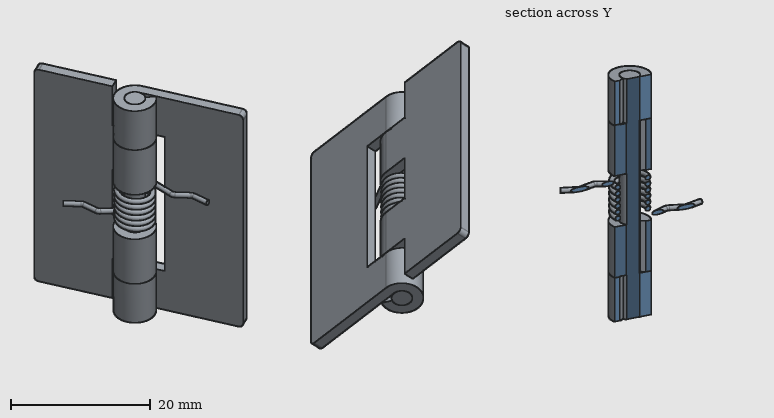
import cadquery as cq
import math


hinge_height = 38.0
hinge_width = 32.0
pin_diameter = 3.0
sheet_thickness = 1.6
corner_radius = 0.72
notch_edge = 4.0
lip_angle = 28.0

spring_gap_end = 4.0
middle_knuckle_end = 12.0

wire_diameter = 0.8
coil_mean_diameter = 5.2
coil_height = 6.0
full_turns = 6
bend_radius = 0.8
lower_bend_x = 5.7
upper_bend_x = 8.4
leg_end_x = 11.05
lower_bend_y = 0.25

half_height = hinge_height / 2
half_width = hinge_width / 2
pin_radius = pin_diameter / 2
roll_radius = pin_radius + sheet_thickness
wire_radius = wire_diameter / 2
coil_radius = coil_mean_diameter / 2
upper_bend_y = pin_radius - wire_radius

leg_tangent_angle = math.atan2(lower_bend_y, lower_bend_x) + math.acos(
    coil_radius / math.hypot(lower_bend_x, lower_bend_y)
)


def polar(radius, angle):
    return radius * math.cos(angle), radius * math.sin(angle)


def make_leaf(notches):
    """Leaf reaching toward +X, its edge rolled around the pin except at the notches."""
    lip = math.radians(lip_angle)
    leaf = (
        cq.Workplane("XY", origin=(0, 0, -half_height))
        .moveTo(0, roll_radius)
        .lineTo(half_width, roll_radius)
        .lineTo(half_width, pin_radius)
        .lineTo(0, pin_radius)
        .threePointArc((0, -pin_radius), polar(pin_radius, lip))
        .lineTo(*polar(roll_radius, lip))
        .threePointArc((0, -roll_radius), (0, roll_radius))
        .close()
        .extrude(hinge_height)
        .edges("|Y and >X")
        .fillet(corner_radius)
    )
    for bottom, top in notches:
        notch = cq.Workplane("XY").box(
            roll_radius + notch_edge, 2 * roll_radius, top - bottom, centered=(False, True, False)
        )
        leaf = leaf.cut(notch.translate((-roll_radius, 0, bottom)))
    return leaf


def make_pin():
    return cq.Workplane("XY").circle(pin_radius).extrude(hinge_height).translate((0, 0, -half_height))


def make_coil():
    """Left-handed coil rising from the left leg to the right leg."""
    start_angle = math.pi - leg_tangent_angle
    turns = full_turns + (start_angle - leg_tangent_angle) / (2 * math.pi)
    helix = cq.Wire.makeHelix(coil_height / turns, coil_height, coil_radius, lefthand=True)
    coil = cq.Workplane("XZ").center(coil_radius, 0).circle(wire_radius).sweep(helix, isFrenet=True)
    return coil.rotate((0, 0, 0), (0, 0, 1), math.degrees(start_angle)).translate((0, 0, -coil_height / 2))


def make_leg():
    """Zigzag leg reaching toward +X in the plane Z = 0."""
    start = polar(coil_radius, leg_tangent_angle)
    corners = [
        start,
        (lower_bend_x, lower_bend_y),
        (upper_bend_x, upper_bend_y),
        (leg_end_x, lower_bend_y),
    ]
    sharp_path = cq.Wire.makePolygon([cq.Vector(x, y, 0) for x, y in corners])
    bends = sharp_path.Vertices()[1:-1]
    path = sharp_path.fillet2D(bend_radius, bends)
    direction = (math.sin(leg_tangent_angle), -math.cos(leg_tangent_angle), 0)
    start_plane = cq.Plane(origin=(*start, 0), xDir=(0, 0, 1), normal=direction)
    return cq.Workplane(start_plane).circle(wire_radius).sweep(path)


def make_spring():
    leg = make_leg()
    right_leg = leg.translate((0, 0, coil_height / 2))
    left_leg = leg.mirror("YZ").translate((0, 0, -coil_height / 2))
    return make_coil().union(right_leg).union(left_leg)


right_leaf = make_leaf([(-middle_knuckle_end, middle_knuckle_end)])
left_leaf = make_leaf(
    [
        (-half_height, -middle_knuckle_end),
        (-spring_gap_end, spring_gap_end),
        (middle_knuckle_end, half_height),
    ]
).mirror("YZ")
pin = make_pin()
spring = make_spring()

result = cq.Compound.makeCompound([right_leaf.val(), left_leaf.val(), pin.val(), spring.val()])